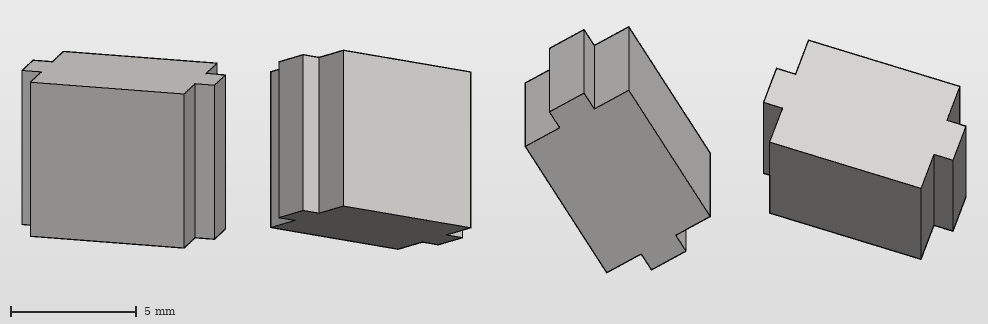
import cadquery as cq

overall_length = 7.95
body_length = 6.35
body_depth = 4.78
height = 6.35
rail_width = 1.6

body = cq.Workplane("XY").box(body_length, body_depth, height)

rails = cq.Workplane("XY").box(overall_length, rail_width, height)

result = body.union(rails)